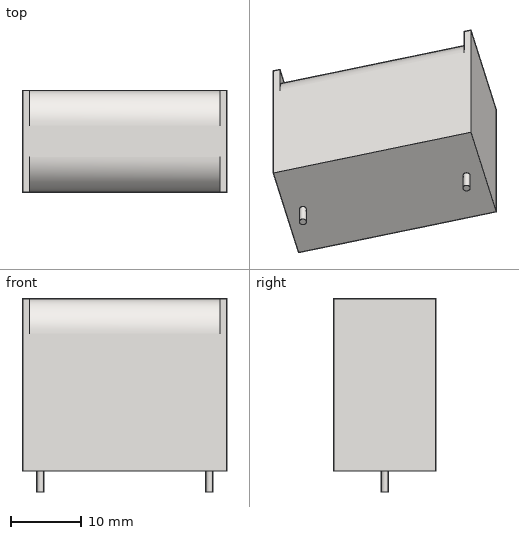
import cadquery as cq

case_length = 29.0
case_width = 14.5
case_height = 24.5
end_plate_thickness = 1.0
top_edge_radius = 5.0

pin_diameter = 1.0
pin_length = 3.0
pin_pitch = 24.0


def make_case_body():
    """Case between the end plates, with both long top edges rounded."""
    body_length = case_length - 2 * end_plate_thickness
    body = cq.Workplane("XY").box(body_length, case_width, case_height, centered=(True, True, False))
    return body.edges("|X and >Z").fillet(top_edge_radius)


def make_end_plate(side):
    """Full rectangular plate closing the case at the -X (side = -1) or +X (side = 1) end."""
    plate_center_x = side * (case_length - end_plate_thickness) / 2
    plate = cq.Workplane("XY").box(
        end_plate_thickness, case_width, case_height, centered=(True, True, False)
    )
    return plate.translate((plate_center_x, 0, 0))


def make_pin(side):
    """Round lead below the case, on the centre plane Y = 0."""
    pin = cq.Workplane("XY").circle(pin_diameter / 2).extrude(-pin_length)
    return pin.translate((side * pin_pitch / 2, 0, 0))


result = make_case_body()
for side in (-1, 1):
    result = result.union(make_end_plate(side))
    result = result.union(make_pin(side))
result = result.clean()